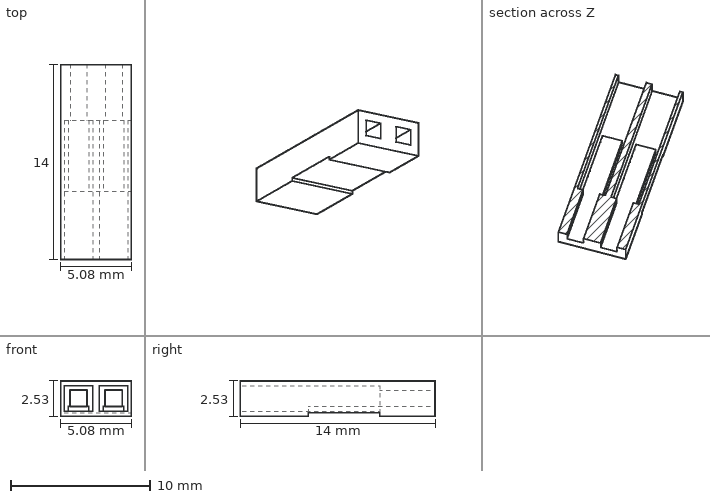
import cadquery as cq

WIDTH = 5.08
LENGTH = 14.0
HEIGHT = 2.53

CAVITY_PITCH = 2.52
CAVITY_WIDTH = 2.06
CAVITY_HEIGHT = 1.82
CAVITY_FLOOR = (HEIGHT - CAVITY_HEIGHT) / 2

RELIEF_START = 4.9
RELIEF_LENGTH = 5.11
RELIEF_DEPTH = 0.24
RELIEF_END = RELIEF_START + RELIEF_LENGTH

TONGUE_WIDTH = 1.48
TONGUE_HEIGHT = 0.35

OPENING_WIDTH = 1.22
OPENING_HEIGHT = 1.18


def block(center_x, width, start_y, end_y, bottom_z, height):
    """Box centred on center_x, spanning start_y to end_y and rising from bottom_z."""
    return (
        cq.Workplane("XY")
        .box(width, end_y - start_y, height, centered=(True, False, False))
        .translate((center_x, start_y, bottom_z))
    )


def cavity(center_x):
    """Space to remove for one cavity: front pocket less its tongue, plus back opening."""
    tongue_top = CAVITY_FLOOR + TONGUE_HEIGHT
    pocket = block(center_x, CAVITY_WIDTH, 0, RELIEF_END, CAVITY_FLOOR, CAVITY_HEIGHT)
    tongue = block(center_x, TONGUE_WIDTH, RELIEF_START, RELIEF_END, CAVITY_FLOOR, TONGUE_HEIGHT)
    opening = block(center_x, OPENING_WIDTH, RELIEF_END, LENGTH, tongue_top, OPENING_HEIGHT)
    return pocket.cut(tongue).union(opening)


housing = block(0, WIDTH, 0, LENGTH, 0, HEIGHT)
relief = block(0, WIDTH, RELIEF_START, RELIEF_END, 0, RELIEF_DEPTH)
result = housing.cut(relief)

for side in (-1, 1):
    result = result.cut(cavity(side * CAVITY_PITCH / 2))